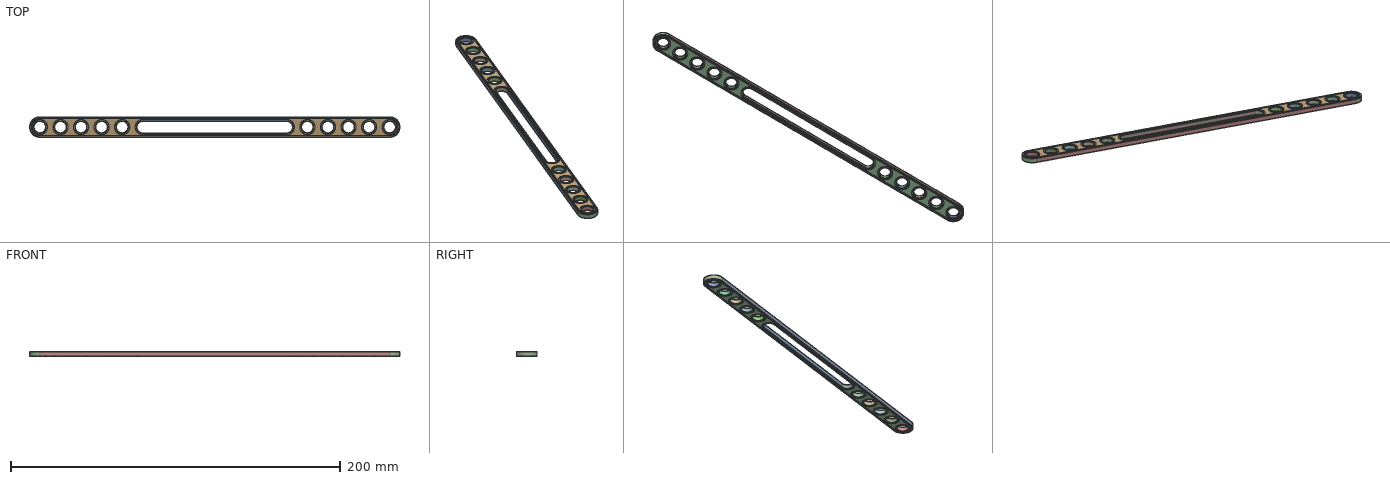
import cadquery as cq

length = 225.0
pitch_count = 18
holes_per_end = 5
slot_pitches = 7
hole_diameter = 7.0
edge_chamfer = 0.3
pocket_depth = 0.2
outer_rim_width = 1.1
opening_rim_diameter = 9.2

pitch = length / pitch_count
width = pitch
thickness = pitch / 4
first_hole_x = (length - width) / 2
hole_positions = [
    (side * (first_hole_x - index * pitch), 0)
    for side in (-1, 1)
    for index in range(holes_per_end)
]


def pierced_bar(inset, opening_diameter, bottom, height):
    """Round-ended bar, set in from the full outline, with its end holes and central slot cut through."""
    plane = cq.Workplane("XY", origin=(0, 0, bottom))
    bar = plane.slot2D(length - 2 * inset, width - 2 * inset).extrude(height)
    holes = plane.pushPoints(hole_positions).circle(opening_diameter / 2).extrude(height)
    slot_length = slot_pitches * pitch + opening_diameter
    slot = plane.slot2D(slot_length, opening_diameter).extrude(height)
    return bar.cut(holes).cut(slot)


def face_pocket(bottom):
    """Shallow volume enclosed by the raised rims."""
    return pierced_bar(outer_rim_width, opening_rim_diameter, bottom, pocket_depth)


bar = pierced_bar(0, hole_diameter, -thickness / 2, thickness)
bar = bar.faces("|Z").edges().chamfer(edge_chamfer)

top_pocket = face_pocket(thickness / 2 - pocket_depth)
bottom_pocket = face_pocket(-thickness / 2)
result = bar.cut(top_pocket).cut(bottom_pocket)